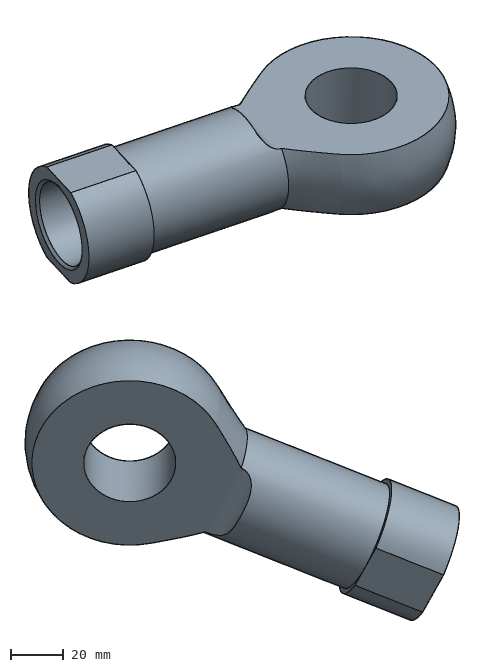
import cadquery as cq
import math

overall_length = 167.5
head_diameter = 79.7
head_thickness = 28.6
eye_diameter = 35.0
shank_diameter = 42.9
neck_distance = 39.4
collar_diameter = 46.9
collar_length = 28.5
collar_across_flats = 43.0
bore_diameter = 33.8
bore_depth = 2 * bore_diameter
bore_chamfer = 1.2

head_radius = head_diameter / 2
shank_radius = shank_diameter / 2
head_half = head_thickness / 2
end_y = head_radius - overall_length
collar_y = end_y + collar_length
neck_y = -neck_distance


def make_body():
    """Revolve the spherical head, tangent neck cone and shank about Y."""
    neck_corner_distance = math.hypot(neck_distance, shank_radius)
    tangent_angle = math.atan2(shank_radius, neck_distance) + math.acos(head_radius / neck_corner_distance)
    tangent_point = (head_radius * math.sin(tangent_angle), -head_radius * math.cos(tangent_angle))
    return (
        cq.Workplane("XY")
        .moveTo(0, head_radius)
        .threePointArc((head_radius, 0), tangent_point)
        .lineTo(shank_radius, neck_y)
        .lineTo(shank_radius, collar_y)
        .lineTo(0, collar_y)
        .close()
        .revolve(360, (0, 0), (0, 1))
    )


def make_face_cutter():
    """Space above the head's top face, with a concave round into the shank."""
    round_radius = shank_radius - head_half
    round_diagonal = round_radius * math.sqrt(0.5)
    return (
        cq.Workplane("YZ")
        .moveTo(head_diameter, head_half)
        .lineTo(neck_y, head_half)
        .threePointArc(
            (neck_y - round_diagonal, shank_radius - round_diagonal),
            (neck_y - round_radius, shank_radius),
        )
        .lineTo(neck_y - round_radius, head_diameter)
        .lineTo(head_diameter, head_diameter)
        .close()
        .extrude(head_radius + 1.7, both=True)
    )


def make_collar():
    """Round collar with two flats, facing up and down."""
    collar = cq.Workplane("XZ", origin=(0, collar_y, 0)).circle(collar_diameter / 2).extrude(collar_length)
    flats = cq.Workplane("XZ", origin=(0, collar_y, 0)).rect(collar_diameter, collar_across_flats)
    return collar.intersect(flats.extrude(collar_length))


def make_bore():
    """Blind flat-bottomed bore with a chamfered mouth."""
    bore_radius = bore_diameter / 2
    return (
        cq.Workplane("XY")
        .moveTo(0, end_y)
        .lineTo(bore_radius + bore_chamfer, end_y)
        .lineTo(bore_radius, end_y + bore_chamfer)
        .lineTo(bore_radius, end_y + bore_depth)
        .lineTo(0, end_y + bore_depth)
        .close()
        .revolve(360, (0, 0), (0, 1))
    )


top_cutter = make_face_cutter()
bottom_cutter = top_cutter.mirror("XY")
eye = cq.Workplane("XY").circle(eye_diameter / 2).extrude(head_thickness, both=True)

result = make_body().cut(top_cutter).cut(bottom_cutter)
result = result.union(make_collar()).cut(make_bore()).cut(eye)